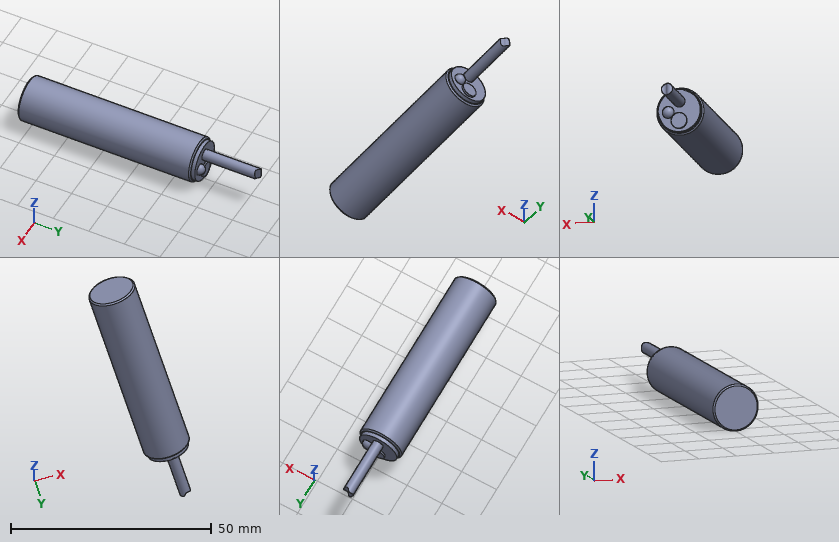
import cadquery as cq


total_length = 64.95

housing_diameter = 12.0
housing_length = 48.45
cap_diameter = 10.7
cap_height = 1.05
housing_chamfer = 0.4
rear_face_y = housing_length + cap_height

button_diameter = 4.0
button_height = 0.5
button_z = -2.6

dome_diameter = 3.0
dome_x = 2.8
dome_z = -0.4

cable_diameter = 2.9
cable_z = 2.35
break_wave_height = 0.45
cable_radius = cable_diameter / 2


def cylinder_along_y(diameter, start_y, length, x=0.0, z=0.0):
    """Solid round bar running in +Y from start_y."""
    axis_plane = cq.Plane(origin=(x, start_y, z), xDir=(1, 0, 0), normal=(0, 1, 0))
    return cq.Workplane(axis_plane).circle(diameter / 2).extrude(length)


def make_housing():
    """Chamfered barrel with its rear cap, adjuster button and indicator dome."""
    barrel = cylinder_along_y(housing_diameter, 0, housing_length)
    barrel = barrel.edges("%CIRCLE").chamfer(housing_chamfer)
    cap = cylinder_along_y(cap_diameter, housing_length, cap_height)
    button = cylinder_along_y(button_diameter, rear_face_y, button_height, z=button_z)
    dome = cq.Workplane("XY").sphere(dome_diameter / 2).translate((dome_x, rear_face_y, dome_z))
    return barrel.union(cap).union(button).union(dome)


def make_cable():
    """Round cable from the rear face to a break that is a crest and a trough across X."""
    crest_y = total_length
    middle_y = crest_y - break_wave_height
    trough_y = middle_y - break_wave_height
    side_profile = (
        cq.Workplane("XY", origin=(0, 0, cable_z))
        .moveTo(-cable_radius, rear_face_y)
        .lineTo(-cable_radius, middle_y)
        .threePointArc((-cable_radius / 2, crest_y), (0, middle_y))
        .threePointArc((cable_radius / 2, trough_y), (cable_radius, middle_y))
        .lineTo(cable_radius, rear_face_y)
        .close()
        .extrude(cable_radius, both=True)
    )
    round_bar = cylinder_along_y(cable_diameter, rear_face_y, total_length - rear_face_y, z=cable_z)
    return round_bar.intersect(side_profile)


housing = make_housing()
cable = make_cable()

result = cq.Compound.makeCompound([housing.val(), cable.val()])